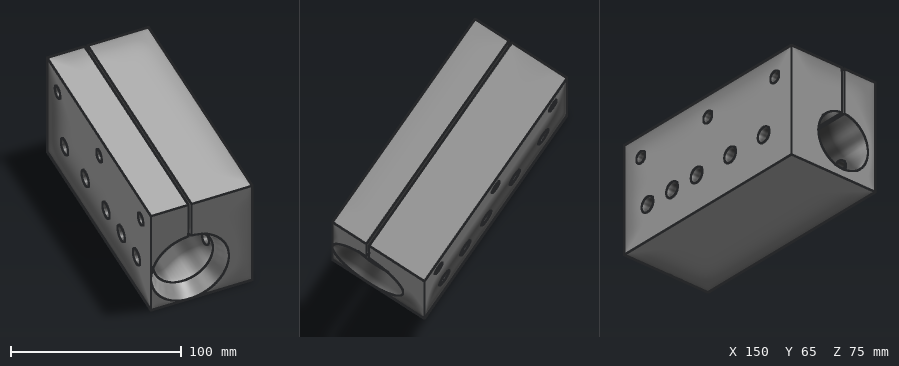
import cadquery as cq
import math

length = 150.0
depth = 65.0
height = 75.0

bore_diameter = 38.35
bore_y = 25.0
bore_z = 25.0
slit_width = 2.0

lead_in_depth = 10.0
lead_in_half_angle = 30.0
lead_in_mouth_diameter = bore_diameter + 2 * lead_in_depth * math.tan(math.radians(lead_in_half_angle))

clamp_hole_diameter = 8.0
clamp_hole_inset = 15.0
clamp_hole_positions = [clamp_hole_inset, length / 2, length - clamp_hole_inset]
clamp_hole_z = height - clamp_hole_inset

cross_hole_diameter = 10.5
first_cross_hole_x = 25.0
wide_pitch = 30.0
narrow_pitch = 22.0
middle_cross_hole_x = first_cross_hole_x + 2 * wide_pitch
cross_hole_positions = [
    first_cross_hole_x,
    first_cross_hole_x + wide_pitch,
    middle_cross_hole_x,
    middle_cross_hole_x + narrow_pitch,
    middle_cross_hole_x + 2 * narrow_pitch,
]


def make_block():
    return cq.Workplane("XY").box(length, depth, height, centered=False)


def make_bore():
    return cq.Workplane("YZ").center(bore_y, bore_z).circle(bore_diameter / 2).extrude(length)


def make_lead_in():
    """Cone that widens from the bore diameter to its mouth on the +X face."""
    cone = cq.Solid.makeCone(
        bore_diameter / 2,
        lead_in_mouth_diameter / 2,
        lead_in_depth,
        pnt=cq.Vector(length - lead_in_depth, bore_y, bore_z),
        dir=cq.Vector(1, 0, 0),
    )
    return cq.Workplane(cone)


def make_slit():
    """Slot from the bore axis up through the top face, along the full length."""
    return (
        cq.Workplane("XY")
        .box(length, slit_width, height - bore_z, centered=False)
        .translate((0, bore_y - slit_width / 2, bore_z))
    )


def make_through_holes(x_positions, z, diameter):
    """Row of holes at one height, running along +Y through the whole depth."""
    points = [(x, z) for x in x_positions]
    return cq.Workplane("XZ").pushPoints(points).circle(diameter / 2).extrude(-depth)


result = (
    make_block()
    .cut(make_bore())
    .cut(make_lead_in())
    .cut(make_slit())
    .cut(make_through_holes(clamp_hole_positions, clamp_hole_z, clamp_hole_diameter))
    .cut(make_through_holes(cross_hole_positions, bore_z, cross_hole_diameter))
)